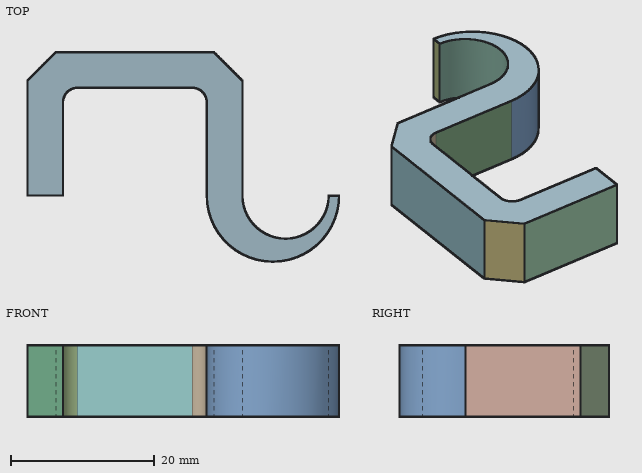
import cadquery as cq

wall = 5.0
gap = 20.0
leg_height = 20.0
depth = 10.0
corner_chamfer = 4.0
corner_radius = 2.0
hook_opening = 12.0
tip_width = 1.5

right_inner = wall + gap
right_outer = right_inner + wall
hook_inner_end = right_outer + hook_opening
hook_outer_end = hook_inner_end + tip_width
hook_inner_radius = hook_opening / 2
hook_outer_radius = (hook_outer_end - right_inner) / 2
bridge_underside = leg_height - wall
chamfer_start = leg_height - corner_chamfer

profile = (
    cq.Workplane("XY")
    .moveTo(0, 0)
    .lineTo(0, chamfer_start)
    .lineTo(corner_chamfer, leg_height)
    .lineTo(right_outer - corner_chamfer, leg_height)
    .lineTo(right_outer, chamfer_start)
    .lineTo(right_outer, 0)
    .threePointArc((right_outer + hook_inner_radius, -hook_inner_radius), (hook_inner_end, 0))
    .lineTo(hook_outer_end, 0)
    .threePointArc((right_inner + hook_outer_radius, -hook_outer_radius), (right_inner, 0))
    .lineTo(right_inner, bridge_underside - corner_radius)
    .tangentArcPoint((right_inner - corner_radius, bridge_underside), relative=False)
    .lineTo(wall + corner_radius, bridge_underside)
    .tangentArcPoint((wall, bridge_underside - corner_radius), relative=False)
    .lineTo(wall, 0)
    .close()
)

result = profile.extrude(depth)